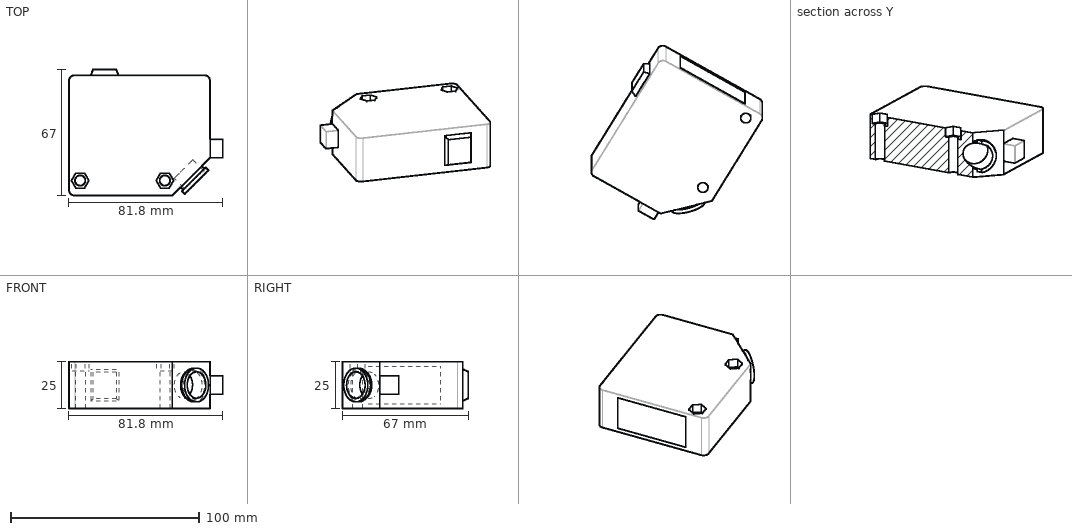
import cadquery as cq
import math

BODY_LENGTH = 75.0
BODY_WIDTH = 64.0
BODY_HEIGHT = 25.0
MID_HEIGHT = BODY_HEIGHT / 2
CORNER_RADIUS = 3.0
RIM_ROUNDING = 0.25
CORNER_CUT = 20.0

HOLE_DIAMETER = 5.4
HOLE_FIRST_X = 6.0
HOLE_SPACING = 45.0
HOLE_Y = 8.0
NUT_ACROSS_FLATS = 8.0
NUT_POCKET_DEPTH = 5.0
NUT_SIDES = 6

NECK_DIAMETER = 16.0
NECK_LENGTH = 1.9
FLANGE_DIAMETER = 18.0
FLANGE_LENGTH = 2.1
BORE_DIAMETER = 14.0
BORE_DEPTH = 10.0

BLOCK_LENGTH = 6.8
BLOCK_SIZE = 10.0
BLOCK_ROUNDING = 0.25

PAD_CENTER_X = 19.0
PAD_HEIGHT = 3.0
PAD_BASE_LENGTH = 14.8
PAD_TOP_LENGTH = 12.4
PAD_BASE_WIDTH = 16.9
PAD_TOP_WIDTH = 14.2

WINDOW_LENGTH = 40.0
WINDOW_WIDTH = 20.0
WINDOW_DEPTH = 0.1


def make_housing():
    """Block with rounded corners, softened rims and one corner cut off at 45 degrees."""
    block = cq.Workplane("XY").box(BODY_LENGTH, BODY_WIDTH, BODY_HEIGHT, centered=False)
    block = block.edges("|Z").edges("<X or >Y").fillet(CORNER_RADIUS)
    block = block.faces("<Z or >Z").edges().fillet(RIM_ROUNDING)
    corner = (
        cq.Workplane("XY")
        .moveTo(BODY_LENGTH - CORNER_CUT, 0)
        .lineTo(BODY_LENGTH, 0)
        .lineTo(BODY_LENGTH, CORNER_CUT)
        .close()
        .extrude(BODY_HEIGHT)
    )
    return block.cut(corner)


def make_mounting_holes():
    """Through holes, each opening into a nut pocket in the top face."""
    centers = [(HOLE_FIRST_X, HOLE_Y), (HOLE_FIRST_X + HOLE_SPACING, HOLE_Y)]
    nut_across_corners = NUT_ACROSS_FLATS / math.cos(math.pi / NUT_SIDES)
    holes = cq.Workplane("XY").pushPoints(centers).circle(HOLE_DIAMETER / 2).extrude(BODY_HEIGHT)
    pockets = (
        cq.Workplane("XY")
        .workplane(offset=BODY_HEIGHT - NUT_POCKET_DEPTH)
        .pushPoints(centers)
        .polygon(NUT_SIDES, nut_across_corners)
        .extrude(NUT_POCKET_DEPTH)
    )
    return holes.union(pockets)


def gland_plane(height):
    """Workplane parallel to the corner cut, at a height above its middle."""
    reach = height / math.sqrt(2)
    origin = (BODY_LENGTH - CORNER_CUT / 2 + reach, CORNER_CUT / 2 - reach, MID_HEIGHT)
    return cq.Workplane(cq.Plane(origin=origin, xDir=(0, 0, 1), normal=(1, -1, 0)))


def make_gland():
    """Short neck carrying a wider flange."""
    neck = gland_plane(0).circle(NECK_DIAMETER / 2).extrude(NECK_LENGTH)
    flange = gland_plane(NECK_LENGTH).circle(FLANGE_DIAMETER / 2).extrude(FLANGE_LENGTH)
    return neck.union(flange)


def make_gland_bore():
    """Blind bore running in from the flange face."""
    mouth = NECK_LENGTH + FLANGE_LENGTH
    return gland_plane(mouth).circle(BORE_DIAMETER / 2).extrude(-BORE_DEPTH)


def make_side_block():
    """Square block whose lower side meets the end of the corner cut."""
    block = (
        cq.Workplane("YZ", origin=(BODY_LENGTH, CORNER_CUT + BLOCK_SIZE / 2, MID_HEIGHT))
        .rect(BLOCK_SIZE, BLOCK_SIZE)
        .extrude(BLOCK_LENGTH)
    )
    return block.edges("|X or >X").fillet(BLOCK_ROUNDING)


def make_pad():
    """Rectangular pad tapering away from the housing."""
    base = cq.Workplane("XZ", origin=(PAD_CENTER_X, BODY_WIDTH, MID_HEIGHT))
    return (
        base.rect(PAD_BASE_LENGTH, PAD_BASE_WIDTH)
        .workplane(offset=-PAD_HEIGHT)
        .rect(PAD_TOP_LENGTH, PAD_TOP_WIDTH)
        .loft(ruled=True)
    )


def make_window():
    """Shallow rectangular recess centred on the -X side."""
    return (
        cq.Workplane("YZ", origin=(0, BODY_WIDTH / 2, MID_HEIGHT))
        .rect(WINDOW_LENGTH, WINDOW_WIDTH)
        .extrude(WINDOW_DEPTH)
    )


result = (
    make_housing()
    .union(make_side_block())
    .union(make_pad())
    .union(make_gland())
    .cut(make_gland_bore())
    .cut(make_mounting_holes())
    .cut(make_window())
)